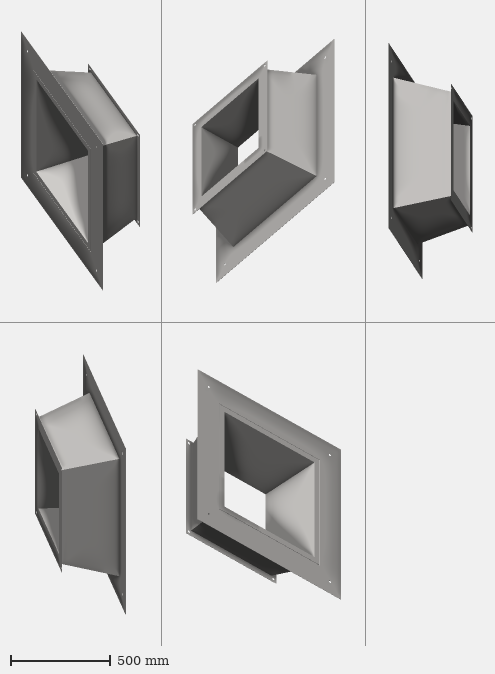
import cadquery as cq

plate_size = 970.0
depth = 290.0
sheet = 1.2

casing_front = 682.0
casing_back = 541.0

front_gap = 2.0
lining_front = casing_front - 2 * front_gap
opening_front = 612.0
opening_back = 469.0

flange_size = 611.0

plate_hole_diameter = 14.0
plate_hole_inset = 75.0
flange_hole_diameter = 14.0
flange_hole_inset = 19.0


def square_slab(size, y_start):
    """Square sheet whose front face lies at y_start."""
    return cq.Workplane("XZ", origin=(0, y_start, 0)).rect(size, size).extrude(-sheet)


def square_frustum(front_width, back_width):
    """Square frustum over the full depth of the part."""
    return (
        cq.Workplane("XZ")
        .rect(front_width, front_width)
        .workplane(offset=-depth)
        .rect(back_width, back_width)
        .loft(ruled=True)
    )


def corner_holes(size, inset, diameter, y_start):
    """Cutters for four holes through a sheet, one near each corner."""
    spacing = size - 2 * inset
    return (
        cq.Workplane("XZ", origin=(0, y_start, 0))
        .rect(spacing, spacing, forConstruction=True)
        .vertices()
        .circle(diameter / 2)
        .extrude(-sheet)
    )


def make_casing():
    """Front plate, tapered sheet cone and rear flange in one piece."""
    flange_y = depth - sheet
    cone = square_frustum(casing_front + 2 * sheet, casing_back + 2 * sheet)
    casing = square_slab(plate_size, 0).union(cone).union(square_slab(flange_size, flange_y))
    casing = casing.cut(square_frustum(casing_front, casing_back))
    casing = casing.cut(corner_holes(plate_size, plate_hole_inset, plate_hole_diameter, 0))
    return casing.cut(corner_holes(flange_size, flange_hole_inset, flange_hole_diameter, flange_y))


def make_lining():
    """Thick tapered lining inside the casing, with a tapered square opening."""
    return square_frustum(lining_front, casing_back).cut(square_frustum(opening_front, opening_back))


casing = make_casing()
lining = make_lining()

result = cq.Compound.makeCompound([casing.val(), lining.val()])